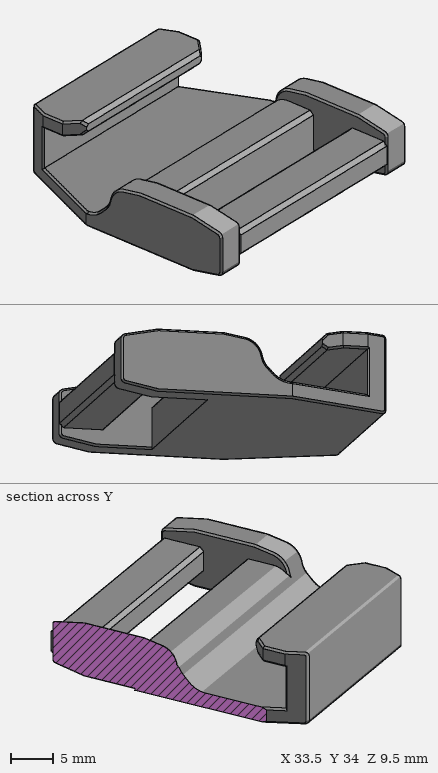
import cadquery as cq
import math

length = 33.5
width = 34.0
hook_height = 9.5
edge_break = 0.25

tolerance = 0.005
side_normal_limit = 0.5

floor_thickness = 2.0
post_thickness = 2.5
hook_reach = 7.5
lip_thickness = 2.0
lip_bottom = hook_height - lip_thickness
hook_corner_cut = 2.0
hook_tip_chamfer = 0.5
front_face_width = 23.0
front_edge_radius = 0.5
taper_end_x = 12.75
front_taper = (width - front_face_width) / 2 / taper_end_x
hook_width = front_face_width + 2 * front_taper * post_thickness

cheek_height = 7.5
cheek_inner_width = 26.85
cheek_flat_start_x = 20.98
cheek_flat_end_x = 29.05
end_slope_drop = 0.9
end_corner_radius = 0.68
crest_radius = 1.8
ramp_radius = 3.05
ramp_angle = math.radians(45)
ramp_straight_rise = 0.7
ramp_steep_point = (16.32, 4.93)
ramp_crest_point = (18.63, 7.1)

bar_top = 5.5
rear_bar_bottom = cheek_height - bar_top
bar_chamfer = 0.5
slot_start_x = 22.25
slot_end_x = 27.7
recess_start = (16.0, 4.15)
recess_flat_x = 18.45
recess_arc_radius = 2.9


def block(x_start, x_end, y_width, z_start, z_end):
    """Box centred on Y, given by its X and Z limits."""
    size = (x_end - x_start, y_width, z_end - z_start)
    return cq.Workplane("XY").box(*size, centered=(False, True, False)).translate((x_start, 0, z_start))


def edges_centred_in(x_limits, y_limits, z_limits):
    """Selector for edges whose centres lie within the given limits, ends included."""
    low, high = zip(x_limits, y_limits, z_limits)
    return cq.selectors.BoxSelector([v - tolerance for v in low], [v + tolerance for v in high])


def extrude_across(outline, y_width):
    """Extrude an XZ outline symmetrically about the XZ plane."""
    return outline.close().extrude(y_width / 2, both=True)


def base_body():
    """Floor, ramp and cheek profile across the full width, tapered towards the front."""
    ramp_end_x = taper_end_x + ramp_radius * math.sin(ramp_angle)
    ramp_end_z = floor_thickness + ramp_radius * (1 - math.cos(ramp_angle))
    outline = (
        cq.Workplane("XZ")
        .moveTo(0, 0)
        .lineTo(0, hook_height)
        .lineTo(hook_reach, hook_height)
        .lineTo(hook_reach, lip_bottom)
        .lineTo(post_thickness, lip_bottom)
        .lineTo(post_thickness, floor_thickness)
        .lineTo(taper_end_x, floor_thickness)
        .threePointArc(
            (
                taper_end_x + ramp_radius * math.sin(ramp_angle / 2),
                floor_thickness + ramp_radius * (1 - math.cos(ramp_angle / 2)),
            ),
            (ramp_end_x, ramp_end_z),
        )
        .line(ramp_straight_rise, ramp_straight_rise)
        .tangentArcPoint(ramp_steep_point, relative=False)
        .tangentArcPoint(ramp_crest_point, relative=False)
        .lineTo(cheek_flat_start_x, cheek_height)
        .lineTo(cheek_flat_end_x, cheek_height)
        .lineTo(length, cheek_height - end_slope_drop)
        .lineTo(length, end_slope_drop)
        .lineTo(cheek_flat_end_x, 0)
    )
    body = extrude_across(outline, width)
    for x in (cheek_flat_start_x, cheek_flat_end_x):
        crest = edges_centred_in((x, x), (0, 0), (cheek_height, cheek_height))
        body = body.edges(crest).fillet(crest_radius)
    body = body.faces(">X").edges("|Y").fillet(end_corner_radius)
    return body


def plan_prism():
    """Plan outline with a tapered front."""
    half_front = front_face_width / 2
    half = width / 2
    return (
        cq.Workplane("XY")
        .polyline(
            [
                (0, -half_front),
                (taper_end_x, -half),
                (length, -half),
                (length, half),
                (taper_end_x, half),
                (0, half_front),
            ]
        )
        .close()
        .extrude(hook_height)
    )


def hook_trim():
    """Material beside the hook and outside its cut corners, above the floor and ahead of the ramp."""
    zone = block(0, taper_end_x, width, floor_thickness, hook_height)
    keep = block(0, hook_reach, hook_width, floor_thickness, hook_height)
    keep = keep.edges("|Z and >X").chamfer(hook_corner_cut)
    return zone.cut(keep)


def recess():
    """Clearance between the cheeks, above the crossbars."""
    start_x, start_z = recess_start
    sweep = math.asin((recess_flat_x - start_x) / recess_arc_radius)
    outline = (
        cq.Workplane("XZ")
        .moveTo(start_x, start_z)
        .threePointArc(
            (
                recess_flat_x - recess_arc_radius * math.sin(sweep / 2),
                bar_top - recess_arc_radius * (1 - math.cos(sweep / 2)),
            ),
            (recess_flat_x, bar_top),
        )
        .lineTo(length, bar_top)
        .lineTo(length, hook_height)
        .lineTo(start_x, hook_height)
    )
    return extrude_across(outline, cheek_inner_width)


def rear_bar():
    """Bevelled strap bar joining the rear ends of the cheeks."""
    bar = block(slot_end_x, length, cheek_inner_width, rear_bar_bottom, bar_top)
    return bar.edges("|Y").chamfer(bar_chamfer)


def faces_outward(face):
    """True for an upright flat face turned to the side, away from the middle."""
    normal = face.normalAt()
    outward = math.copysign(1, face.Center().y) * normal.y
    return face.geomType() == "PLANE" and abs(normal.z) < tolerance and outward > side_normal_limit


def break_outer_edges(body):
    """Chamfer the side outlines and the front and post uprights; plan bends stay sharp."""
    outline = body.faces().filter(faces_outward).edges("not |Z")
    front_uprights = body.faces("<X").edges("|Z")
    body = outline.add(front_uprights).chamfer(edge_break)
    post_rise = (floor_thickness, lip_bottom)
    post_back = edges_centred_in((post_thickness, post_thickness), (-width, width), post_rise)
    return body.edges("|Z").edges(post_back).chamfer(edge_break)


def break_inner_cheek_edges(body):
    """Chamfer the top, rear and bottom edges of the cheek faces beside the strap opening."""
    half = cheek_inner_width / 2
    upper = (bar_top + edge_break, cheek_height)
    lower = (0, end_slope_drop)
    edges = []
    for y in (-half, half):
        edges += body.edges(edges_centred_in((length, length), (y, y), (0, cheek_height))).vals()
        for z_limits in (upper, lower):
            edges += body.edges(edges_centred_in((recess_start[0], length), (y, y), z_limits)).vals()
    return body.newObject(edges).chamfer(edge_break)


body = base_body().intersect(plan_prism()).cut(hook_trim())
body = body.cut(recess())
body = body.cut(block(slot_start_x, length, cheek_inner_width, 0, hook_height))

body = body.faces("<X").edges("|Y").fillet(front_edge_radius)
lip_tip = edges_centred_in((hook_reach, hook_reach), (0, 0), (lip_bottom, hook_height))
body = body.edges("|Y").edges(lip_tip).chamfer(hook_tip_chamfer)

body = break_outer_edges(body)
body = break_inner_cheek_edges(body)
front_bar_edge = edges_centred_in((slot_start_x, slot_start_x), (0, 0), (bar_top, bar_top))
body = body.edges("|Y").edges(front_bar_edge).chamfer(bar_chamfer)

result = body.union(rear_bar())